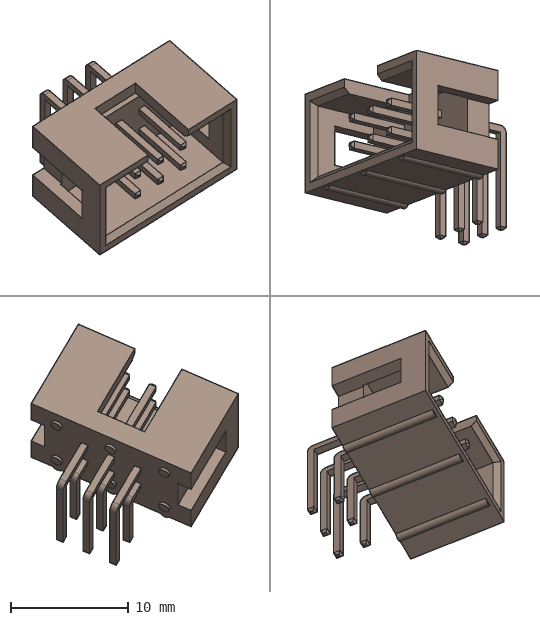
import cadquery as cq

housing_depth = 8.87
housing_width = 15.28
housing_height = 8.85

cavity_floor_x = 2.36
side_wall = 1.13
roof_and_floor_wall = 1.25
mouth_chamfer = 0.5

key_slot_width = 4.5
key_slot_start_x = 1.87

window_height = 3.5
window_end_x = 6.53
window_depth = 1.25

stud_diameter = 1.0
stud_height = 0.25
stud_row_z = 2.85
column_spacing = 5.15
rib_diameter = 1.0
rib_height = 0.25
rib_length = 8.53

pin_size = 0.64
pin_pitch = 2.54
pin_rows = 2
pins_per_row = 3
pin_tip_x = 8.03
pin_tip_taper = 0.2
overall_length = 13.55
overall_height = 12.1

housing_top_z = housing_height / 2
housing_bottom_z = -housing_top_z
pin_bottom_z = housing_top_z - overall_height
rear_leg_x = housing_depth - overall_length + pin_size / 2
column_positions = (-column_spacing, 0, column_spacing)


def centred_offset(index, count):
    """Position of an item in a centred row, in units of its pitch."""
    return index - (count - 1) / 2


def block(x_range, y_range, z_range):
    """Box spanning the given (low, high) ranges."""
    sizes = [high - low for low, high in (x_range, y_range, z_range)]
    corner = (x_range[0], y_range[0], z_range[0])
    return cq.Workplane("XY").box(*sizes, centered=False).translate(corner)


def make_cavity():
    """Rectangular pocket open at the mouth, flared by the mouth chamfer."""
    width = housing_width - 2 * side_wall
    height = housing_height - 2 * roof_and_floor_wall
    pocket = (
        cq.Workplane("YZ", origin=(cavity_floor_x, 0, 0))
        .rect(width, height)
        .extrude(housing_depth - cavity_floor_x)
    )
    flare = (
        cq.Workplane("YZ", origin=(housing_depth - mouth_chamfer, 0, 0))
        .rect(width, height)
        .workplane(offset=mouth_chamfer)
        .rect(width + 2 * mouth_chamfer, height + 2 * mouth_chamfer)
        .loft(ruled=True)
    )
    return pocket.union(flare)


def make_key_slot():
    """Slot through the top wall, running out at the mouth."""
    half_width = key_slot_width / 2
    return block(
        (key_slot_start_x, housing_depth),
        (-half_width, half_width),
        (housing_top_z - roof_and_floor_wall, housing_top_z),
    )


def make_window(side):
    """Latch window in the side wall facing +Y (side = 1) or -Y (side = -1)."""
    outer_y = side * housing_width / 2
    inner_y = side * (housing_width / 2 - window_depth)
    y_range = (min(inner_y, outer_y), max(inner_y, outer_y))
    return block((0, window_end_x), y_range, (-window_height / 2, window_height / 2))


def make_housing():
    housing = block(
        (0, housing_depth),
        (-housing_width / 2, housing_width / 2),
        (housing_bottom_z, housing_top_z),
    )
    housing = housing.cut(make_cavity()).cut(make_key_slot())
    for side in (-1, 1):
        housing = housing.cut(make_window(side))
    return housing


def make_studs():
    """Round standoffs on the rear face, two rows of three."""
    centres = [(y, z) for y in column_positions for z in (-stud_row_z, stud_row_z)]
    return (
        cq.Workplane("YZ", origin=(-stud_height, 0, 0))
        .pushPoints(centres)
        .circle(stud_diameter / 2)
        .extrude(stud_height)
    )


def make_rib(y):
    """Round-backed rib along the underside, starting at the rear face."""
    axis_z = housing_bottom_z - rib_height + rib_diameter / 2
    rod = (
        cq.Workplane("YZ")
        .center(y, axis_z)
        .circle(rib_diameter / 2)
        .extrude(rib_length)
    )
    below_housing = block(
        (0, rib_length),
        (y - rib_diameter / 2, y + rib_diameter / 2),
        (housing_bottom_z - rib_height, housing_bottom_z),
    )
    return rod.intersect(below_housing)


def make_pin(leg_x, y, arm_z):
    """Square pin: horizontal arm at arm_z, vertical leg at leg_x, both ends tapered."""
    half = pin_size / 2
    arm = block((leg_x - half, pin_tip_x), (y - half, y + half), (arm_z - half, arm_z + half))
    leg = block((leg_x - half, leg_x + half), (y - half, y + half), (pin_bottom_z, arm_z + half))
    arm = arm.faces(">X").chamfer(pin_tip_taper)
    leg = leg.faces("<Z").chamfer(pin_tip_taper)
    bend_edge = cq.selectors.NearestToPointSelector((leg_x - half, y, arm_z + half))
    return arm.union(leg).edges("|Y").edges(bend_edge).fillet(pin_size)


def make_pins():
    """All pins as a list; the upper row has its legs farthest from the housing."""
    pins = []
    for row in range(pin_rows):
        leg_x = rear_leg_x + row * pin_pitch
        arm_z = -centred_offset(row, pin_rows) * pin_pitch
        for column in range(pins_per_row):
            y = centred_offset(column, pins_per_row) * pin_pitch
            pins.append(make_pin(leg_x, y, arm_z))
    return pins


result = make_housing().union(make_studs())
for rib_y in column_positions:
    result = result.union(make_rib(rib_y))
for pin in make_pins():
    result = result.union(pin)